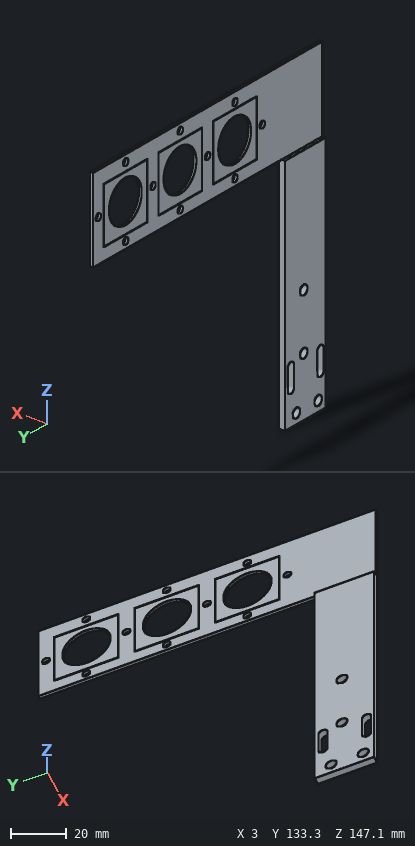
import cadquery as cq

thickness = 3.0
width = 133.3
height = 147.1

plate_height = 38.3
plate_step = 1.5
leg_width = 23.5

front_x = -thickness / 2
plate_front_x = front_x + plate_step
right_y = -width / 2
left_y = width / 2
top_z = height / 2
bottom_z = -height / 2
plate_bottom_z = top_z - plate_height

window_pitch = 31.8
first_window_y = left_y - 19.0
window_z = top_z - 19.1
window_drop_last = 0.6
window_diameter = 19.0
recess_size = 25.3
recess_center_z = top_z - 19.7
recess_depth = 0.1

screw_diameter = 3.0
screw_offset = 15.9
top_screw_drop_last = 1.0

leg_hole_diameter = 4.3
center_hole_y = right_y + 12.7
center_hole_heights = (27.0, 52.5)
lower_hole_offsets = (4.3, 16.9)
lower_hole_height = 4.7
slot_length = 12.8
slot_center_height = 20.2
slot_width = 3.5
slot_offsets = (3.0, 20.2)


def block(x_start, x_end, y_start, y_end, z_start, z_end):
    """Box between opposite corners."""
    size = (x_end - x_start, y_end - y_start, z_end - z_start)
    return cq.Workplane("XY").box(*size, centered=False).translate((x_start, y_start, z_start))


def front_sketch(y, z):
    """Sketch plane on the front of the part, centred on a Y, Z position."""
    return cq.Workplane("YZ", origin=(front_x, y, z))


def through_hole(y, z, diameter):
    return front_sketch(y, z).circle(diameter / 2).extrude(thickness)


def through_slot(y, z):
    return front_sketch(y, z).slot2D(slot_length, slot_width, 90).extrude(thickness)


plate = block(plate_front_x, thickness / 2, right_y, left_y, plate_bottom_z, top_z)
leg = block(front_x, thickness / 2, right_y, right_y + leg_width, bottom_z, plate_bottom_z)
result = plate.union(leg)

window_count = 3
for index in range(window_count):
    is_last = index == window_count - 1
    y = first_window_y - index * window_pitch
    z = window_z - (window_drop_last if is_last else 0)
    recess = block(
        plate_front_x, plate_front_x + recess_depth,
        y - recess_size / 2, y + recess_size / 2,
        recess_center_z - recess_size / 2, recess_center_z + recess_size / 2,
    )
    upper_screw_z = window_z + screw_offset - (top_screw_drop_last if is_last else 0)
    result = result.cut(recess)
    result = result.cut(through_hole(y, z, window_diameter))
    result = result.cut(through_hole(y, upper_screw_z, screw_diameter))
    result = result.cut(through_hole(y, window_z - screw_offset, screw_diameter))

side_screw_drops = (0, 0, window_drop_last, window_drop_last)
for index, drop in enumerate(side_screw_drops):
    y = first_window_y + screw_offset - index * window_pitch
    result = result.cut(through_hole(y, window_z - drop, screw_diameter))

for hole_height in center_hole_heights:
    result = result.cut(through_hole(center_hole_y, bottom_z + hole_height, leg_hole_diameter))
for offset in lower_hole_offsets:
    result = result.cut(through_hole(right_y + offset, bottom_z + lower_hole_height, leg_hole_diameter))

for offset in slot_offsets:
    result = result.cut(through_slot(right_y + offset, bottom_z + slot_center_height))